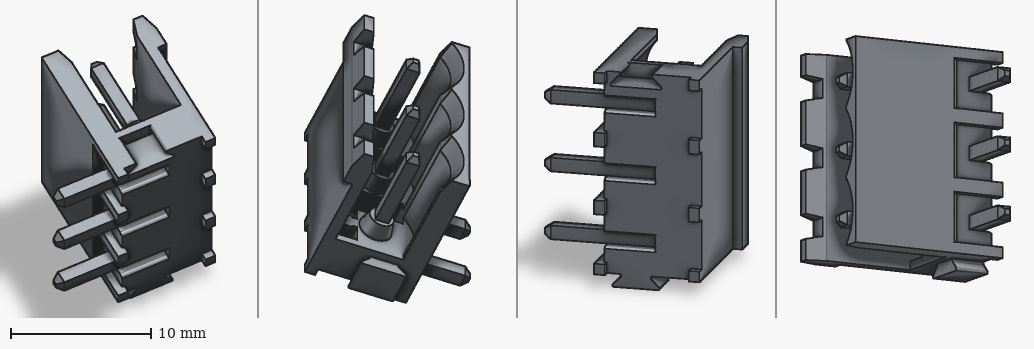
import cadquery as cq
import math


length = 12.0
total_depth = 12.6
body_height = 15.0
tail_height = 1.0
pin_count = 3
pitch = 5.04
top_z = tail_height + body_height
mid_z = tail_height + body_height / 2
pin_levels = [mid_z + pitch * (i - (pin_count - 1) / 2) for i in range(pin_count)]

front_wall = 1.73
rear_wall_inner = 6.95
rear_wall_outer = 7.8
floor_x = 8.27
base_end_x = 11.42

front_tip = 1.36
front_taper = 1.33
hook_outer = 8.5
hook_length = 3.0
hook_tip_inner = 7.38
hook_tip_outer = 8.11
hook_taper = 1.44
notch_depth = 1.2
notch_floor_width = 1.36
notch_mouth_width = 1.84

rib_thickness = 0.8
end_rib_height = 0.8
window_height = 4.0
window_depth = 0.6
window_start_x = 8.02
window_floor_x = 8.6

pin_size = 1.02
pin_tip_size = 0.42
pin_taper = 0.51
pin_y = 3.87
pin_front_x = 0.67
pin_leg_x = 10.1
pin_leg_end_y = hook_outer - total_depth

collar_x = 7.07
collar_tip_radius = 0.93
collar_root_radius = 1.25
bore_radius = 2.96
bore_mouth_radius = 3.44

slot_flare_length = 0.38
slot_end_half_width = 0.65

relief_depth = 2.24
relief_end_margin = 0.62
relief_pin_gap = 1.44
relief_inner_y = 5.26
web_height = 0.86
web_boss_radius = 0.6
web_boss_y = 5.97

dovetail_start_x = 8.88
dovetail_y = 2.95
dovetail_radius = 0.13
tail_mouth_half_width = 0.93
groove_mouth_half_width = 0.98
groove_depth = 1.09


def box(x0, x1, y0, y1, z0, z1):
    return cq.Workplane("XY").box(x1 - x0, y1 - y0, z1 - z0, centered=False).translate((x0, y0, z0))


def cone_along_x(x0, x1, r0, r1, z):
    profile = [(x0, 0), (x1, 0), (x1, r1), (x0, r0)]
    cone = cq.Workplane("XY").polyline(profile).close().revolve(360, (0, 0), (1, 0))
    return cone.translate((0, pin_y, z))


def window_span(z):
    """Height range of the pocket at one pin, kept clear of the end ribs."""
    low = max(z - window_height / 2, tail_height + end_rib_height)
    high = min(z + window_height / 2, top_z - end_rib_height)
    return low, high


def make_housing():
    outline = [
        (0, 0),
        (length, 0),
        (length, rib_thickness),
        (base_end_x, rib_thickness),
        (base_end_x, rear_wall_outer - rib_thickness),
        (length, rear_wall_outer - rib_thickness),
        (length, rear_wall_outer),
        (hook_length, rear_wall_outer),
        (hook_length, hook_outer),
        (hook_taper, hook_outer),
        (0, hook_tip_outer),
        (0, hook_tip_inner),
        (hook_taper, rear_wall_inner),
        (floor_x, rear_wall_inner),
        (floor_x, front_wall),
        (front_taper, front_wall),
        (0, front_tip),
    ]
    return cq.Workplane("XY").workplane(offset=tail_height).polyline(outline).close().extrude(body_height)


def hook_notch(z):
    profile = [
        (0, z - notch_mouth_width / 2),
        (notch_depth, z - notch_floor_width / 2),
        (notch_depth, z + notch_floor_width / 2),
        (0, z + notch_mouth_width / 2),
    ]
    notch = cq.Workplane("XZ").polyline(profile).close().extrude(-(hook_outer - pin_y))
    return notch.translate((0, pin_y, 0))


def wall_bore(z):
    mouth = cone_along_x(0, front_taper, bore_mouth_radius, bore_radius, z)
    bore = cone_along_x(front_taper, floor_x, bore_radius, bore_radius, z)
    front_half = box(0, floor_x, 0, pin_y, tail_height, top_z)
    return mouth.union(bore).intersect(front_half)


def pin_window(z):
    low, high = window_span(z)
    outline = [
        (window_start_x, 0),
        (window_floor_x, window_depth),
        (length, window_depth),
        (length, 0),
    ]
    window = cq.Workplane("XY").workplane(offset=low).polyline(outline).close().extrude(high - low)
    rib_gap = box(base_end_x, length, 0, rear_wall_outer, low, high)
    return window.union(rib_gap)


def pin_slot(z):
    """Slot open to +X behind the pin, flaring along an arc on both sides."""
    half = pin_size / 2
    flare_x = base_end_x - slot_flare_length
    upper_half = (
        cq.Workplane("XZ")
        .moveTo(pin_leg_x, z)
        .lineTo(pin_leg_x, z + half)
        .lineTo(flare_x, z + half)
        .tangentArcPoint((base_end_x, z + slot_end_half_width), relative=False)
        .lineTo(base_end_x, z)
        .close()
        .extrude(-(pin_y + half))
    )
    return upper_half.union(upper_half.mirror("XY", (0, 0, z)))


def floor_relief():
    end = floor_x + relief_depth
    low = tail_height + relief_end_margin
    relief = box(floor_x, end, relief_inner_y, rear_wall_inner, low, top_z - relief_end_margin)
    for z in pin_levels[:-1]:
        between_pins = (z + relief_pin_gap, z + pitch - relief_pin_gap)
        relief = relief.union(box(floor_x, end, front_wall, rear_wall_inner, *between_pins))
    for z in pin_levels:
        web = box(floor_x, end, relief_inner_y, rear_wall_inner, z - web_height / 2, z + web_height / 2)
        boss = cq.Workplane("YZ").center(web_boss_y, z).circle(web_boss_radius).extrude(relief_depth)
        relief = relief.cut(web).cut(boss.translate((floor_x, 0, 0)))
    return relief


def dovetail_prism(mouth_half_width, height, face_z):
    """Prism along X hanging below face_z, widening at 45 degrees, all edges rounded.

    mouth_half_width is measured where the flank would meet the face without rounding.
    """
    radius = dovetail_radius
    tangent = radius / math.tan(math.radians(22.5))
    diagonal = radius * math.sin(math.radians(45))
    mouth_centre = mouth_half_width + tangent
    foot_centre = mouth_half_width + height - tangent

    def at(half_width, depth, side):
        return dovetail_y + side * half_width, face_z - depth

    profile = (
        cq.Workplane("YZ")
        .moveTo(*at(mouth_centre, 0, -1))
        .lineTo(*at(mouth_centre, 0, 1))
        .threePointArc(
            at(mouth_centre - radius, radius, 1),
            at(mouth_centre - diagonal, radius + diagonal, 1),
        )
        .lineTo(*at(foot_centre + diagonal, height - radius - diagonal, 1))
        .threePointArc(at(foot_centre + radius, height - radius, 1), at(foot_centre, height, 1))
        .lineTo(*at(foot_centre, height, -1))
        .threePointArc(
            at(foot_centre + radius, height - radius, -1),
            at(foot_centre + diagonal, height - radius - diagonal, -1),
        )
        .lineTo(*at(mouth_centre - diagonal, radius + diagonal, -1))
        .threePointArc(at(mouth_centre - radius, radius, -1), at(mouth_centre, 0, -1))
        .close()
    )
    return profile.extrude(base_end_x - dovetail_start_x).translate((dovetail_start_x, 0, 0))


def dovetail_tail():
    return dovetail_prism(tail_mouth_half_width, tail_height, tail_height)


def dovetail_groove():
    return dovetail_prism(groove_mouth_half_width, groove_depth, top_z)


def tapered_tip():
    """Truncated pyramid growing along +Z from the pin section to its tip."""
    return (
        cq.Workplane("XY")
        .rect(pin_size, pin_size)
        .workplane(offset=pin_taper)
        .rect(pin_tip_size, pin_tip_size)
        .loft(ruled=True)
    )


def bent_pin(z):
    half = pin_size / 2
    arm_start = pin_front_x + pin_taper
    leg_start = pin_leg_end_y + pin_taper
    arm = box(arm_start, pin_leg_x + half, pin_y - half, pin_y + half, z - half, z + half)
    leg = box(pin_leg_x - half, pin_leg_x + half, leg_start, pin_y + half, z - half, z + half)
    arm_tip = tapered_tip().rotate((0, 0, 0), (0, 1, 0), -90).translate((arm_start, pin_y, z))
    leg_tip = tapered_tip().rotate((0, 0, 0), (1, 0, 0), 90).translate((pin_leg_x, leg_start, z))
    return arm.union(leg).union(arm_tip).union(leg_tip)


result = make_housing().cut(floor_relief()).cut(dovetail_groove()).union(dovetail_tail())
for level in pin_levels:
    result = result.cut(hook_notch(level)).cut(wall_bore(level))
    result = result.cut(pin_window(level)).cut(pin_slot(level))
for level in pin_levels:
    result = result.union(cone_along_x(collar_x, floor_x, collar_tip_radius, collar_root_radius, level))
    result = result.union(bent_pin(level))